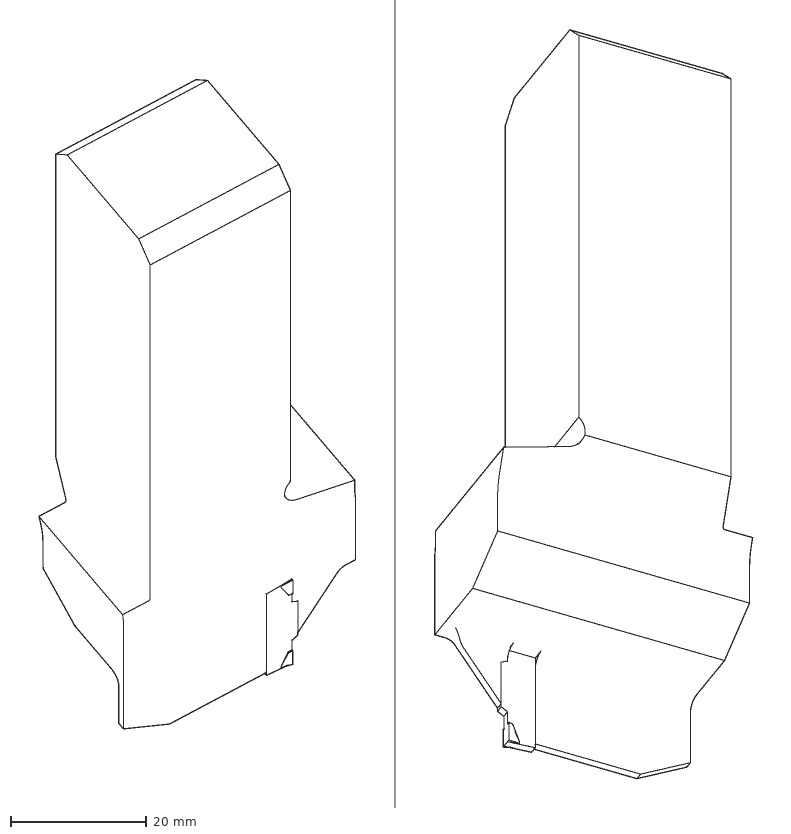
import cadquery as cq
import math

SHANK = 25.0
TOP_Z = 116.9
TOP_CHAMFER = 3.0

HEAD_FRONT_Y = -4.9
HEAD_BACK_Y = 36.5
HEAD_RIGHT_X = 25.3
SHOULDER_Z = 33.1
SHOULDER_FILLET = 0.4
STEP_END_Z = 31.6
TAPER_TOP_Z = 40.8
TAPER_ANGLE = math.radians(20)
HEAD_LEFT_X = 3.9
TAPER_BLEND = 10.0
LEFT_BOTTOM_Z = 21.7
FLOOR_Z = 16.8
BEVEL_ANGLE = math.radians(30)

BLADE_LEFT_X = 24.0
BLADE_BOTTOM_Z = 1.0
BLADE_FILLET = 2.0
BLADE_BEVEL_Y = 3.3
BLADE_BACK_TOP_Y = 33.8
BLADE_BACK_LOW_Y = 26.2
BLADE_BACK_LOW_Z = 6.7

LEDGE_ANGLE = math.radians(15)
LEDGE_EDGE_Z = 35.8
RELIEF_RADIUS = 3.0
RELIEF_DEPTH = 1.0

INSERT_TOP_Z = 20.3
INSERT_FRONT_Y = 20.6
INSERT_RAKE_Y = 25.1
INSERT_BACK_Y = 26.2
INSERT_SHOULDER = 5.5
INSERT_RAMP = 0.6
END_RELIEF = 0.4
TIP_LEFT_X = 23.5
TIP_RIGHT_X = 25.5
TIP_LENGTH = 3.3
TIP_ROOT_LENGTH = 0.6
TIP_TAPER_TOP_Y = 24.4
TIP_TAPER_END_Y = 23.1


def extrude_side(outline, left_x, right_x):
    """Extrude a closed YZ outline between two X positions."""
    return outline.extrude(right_x - left_x).translate((left_x, 0, 0))


def front_form():
    """Outline across X and Z, running the full depth of the head."""
    taper_end_z = TAPER_TOP_Z - HEAD_LEFT_X / math.tan(TAPER_ANGLE)
    bevel_end_x = HEAD_LEFT_X + (LEFT_BOTTOM_Z - FLOOR_Z) / math.tan(BEVEL_ANGLE)
    blend = TAPER_BLEND * math.tan(TAPER_ANGLE / 2)
    blend_start = (
        HEAD_LEFT_X - blend * math.sin(TAPER_ANGLE),
        taper_end_z + blend * math.cos(TAPER_ANGLE),
    )
    blend_end = (HEAD_LEFT_X, taper_end_z - blend)
    outline = (
        cq.Workplane("XZ", origin=(0, HEAD_BACK_Y, 0))
        .moveTo(0, TAPER_TOP_Z)
        .lineTo(*blend_start)
        .radiusArc(blend_end, TAPER_BLEND)
        .lineTo(HEAD_LEFT_X, LEFT_BOTTOM_Z)
        .lineTo(bevel_end_x, FLOOR_Z)
        .lineTo(BLADE_LEFT_X - BLADE_FILLET, FLOOR_Z)
        .radiusArc((BLADE_LEFT_X, FLOOR_Z - BLADE_FILLET), BLADE_FILLET)
        .lineTo(BLADE_LEFT_X, 0)
        .lineTo(HEAD_RIGHT_X, 0)
        .lineTo(HEAD_RIGHT_X, STEP_END_Z)
        .lineTo(SHANK, SHOULDER_Z)
        .lineTo(SHANK, TOP_Z - TOP_CHAMFER)
        .lineTo(SHANK - TOP_CHAMFER, TOP_Z)
        .lineTo(TOP_CHAMFER, TOP_Z)
        .lineTo(0, TOP_Z - TOP_CHAMFER)
        .close()
    )
    return outline.extrude(HEAD_BACK_Y - HEAD_FRONT_Y)


def side_form():
    """Outline across Y and Z, running the full width."""
    relief_y = SHANK - RELIEF_DEPTH + RELIEF_RADIUS
    relief_end_y = relief_y - RELIEF_RADIUS * math.sin(LEDGE_ANGLE)
    relief_end_z = LEDGE_EDGE_Z + (HEAD_BACK_Y - relief_end_y) * math.tan(LEDGE_ANGLE)
    relief_z = relief_end_z + RELIEF_RADIUS * math.cos(LEDGE_ANGLE)
    relief_half = math.sqrt(RELIEF_RADIUS**2 - (relief_y - SHANK) ** 2)

    back_angle = math.atan2(FLOOR_Z - BLADE_BACK_LOW_Z, BLADE_BACK_TOP_Y - BLADE_BACK_LOW_Y)
    tangent = BLADE_FILLET * math.tan(back_angle / 2)
    bevel_rise = (BLADE_BEVEL_Y - HEAD_FRONT_Y) * math.tan(BEVEL_ANGLE)
    seat_y = (INSERT_FRONT_Y + INSERT_RAKE_Y) / 2
    outline = (
        cq.Workplane("YZ")
        .moveTo(0, TOP_Z)
        .lineTo(0, SHOULDER_Z + SHOULDER_FILLET)
        .radiusArc((-SHOULDER_FILLET, SHOULDER_Z), SHOULDER_FILLET)
        .lineTo(HEAD_FRONT_Y, SHOULDER_Z)
        .lineTo(HEAD_FRONT_Y, BLADE_BOTTOM_Z + bevel_rise)
        .lineTo(BLADE_BEVEL_Y, BLADE_BOTTOM_Z)
        .lineTo(seat_y, BLADE_BOTTOM_Z)
        .lineTo(seat_y, BLADE_BACK_LOW_Z)
        .lineTo(BLADE_BACK_LOW_Y, BLADE_BACK_LOW_Z)
        .lineTo(
            BLADE_BACK_TOP_Y - tangent * math.cos(back_angle),
            FLOOR_Z - tangent * math.sin(back_angle),
        )
        .radiusArc((BLADE_BACK_TOP_Y + tangent, FLOOR_Z), BLADE_FILLET)
        .lineTo(HEAD_BACK_Y, FLOOR_Z)
        .lineTo(HEAD_BACK_Y, LEDGE_EDGE_Z)
        .lineTo(relief_end_y, relief_end_z)
        .threePointArc((relief_y - RELIEF_RADIUS, relief_z), (SHANK, relief_z + relief_half))
        .lineTo(SHANK, TOP_Z)
        .close()
    )
    return extrude_side(outline, 0, HEAD_RIGHT_X)


def insert_tip():
    """Widened lower end, tapering from the rake face into the insert's sides."""
    outline = (
        cq.Workplane("XY")
        .moveTo(TIP_LEFT_X, INSERT_RAKE_Y)
        .lineTo(BLADE_LEFT_X, TIP_TAPER_END_Y)
        .lineTo(HEAD_RIGHT_X, TIP_TAPER_END_Y)
        .lineTo(TIP_RIGHT_X, INSERT_RAKE_Y)
        .close()
    )
    tip = outline.extrude(TIP_LENGTH)
    slope = (
        cq.Workplane("YZ")
        .moveTo(INSERT_RAKE_Y, 0)
        .lineTo(INSERT_RAKE_Y, TIP_LENGTH)
        .lineTo(TIP_TAPER_TOP_Y, TIP_LENGTH)
        .lineTo(TIP_TAPER_END_Y, TIP_ROOT_LENGTH)
        .lineTo(TIP_TAPER_END_Y, END_RELIEF)
        .close()
    )
    return tip.intersect(extrude_side(slope, TIP_LEFT_X, TIP_RIGHT_X))


def make_insert():
    """Flat bar with a raised back and a widened cutting tip at each end."""
    ramp_end = INSERT_SHOULDER + INSERT_RAMP
    outline = (
        cq.Workplane("YZ")
        .moveTo(INSERT_FRONT_Y, END_RELIEF)
        .lineTo(INSERT_RAKE_Y, 0)
        .lineTo(INSERT_RAKE_Y, INSERT_SHOULDER)
        .lineTo(INSERT_BACK_Y, ramp_end)
        .lineTo(INSERT_BACK_Y, INSERT_TOP_Z - ramp_end)
        .lineTo(INSERT_RAKE_Y, INSERT_TOP_Z - INSERT_SHOULDER)
        .lineTo(INSERT_RAKE_Y, INSERT_TOP_Z)
        .lineTo(INSERT_FRONT_Y, INSERT_TOP_Z - END_RELIEF)
        .close()
    )
    lower_tip = insert_tip()
    upper_tip = lower_tip.mirror("XY", (0, 0, INSERT_TOP_Z / 2))
    bar = extrude_side(outline, BLADE_LEFT_X, HEAD_RIGHT_X)
    return bar.union(lower_tip).union(upper_tip)


def insert_clearance():
    """Gap through the blade fillet beside the insert."""
    return cq.Workplane("XY").box(
        BLADE_FILLET, INSERT_RAKE_Y - INSERT_FRONT_Y, BLADE_FILLET, centered=False
    ).translate((BLADE_LEFT_X - BLADE_FILLET, INSERT_FRONT_Y, FLOOR_Z - BLADE_FILLET))


def make_holder(insert):
    """Shank, head and blade in one piece, with a pocket matching the insert."""
    return front_form().intersect(side_form()).cut(insert_clearance()).cut(insert)


insert = make_insert()
holder = make_holder(insert)
result = cq.Compound.makeCompound([holder.val(), insert.val()])